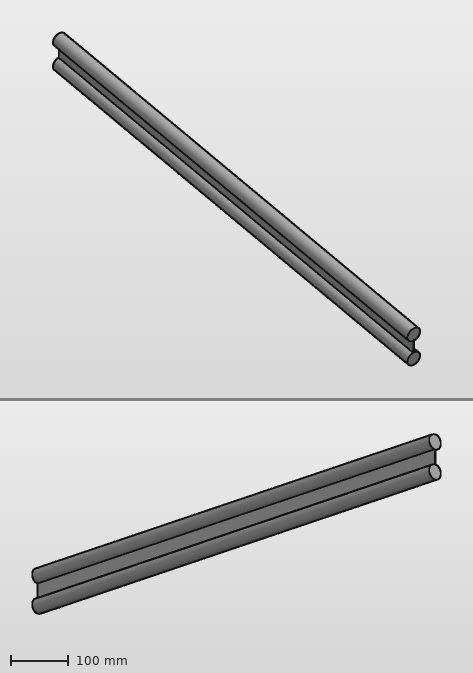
import cadquery as cq

length = 1000.0
rod_diameter = 28.0
rod_spacing = 55.0
web_thickness = 2.5


def make_rod(center_z):
    """Round rod along X, centred on the origin in X and Y."""
    return (
        cq.Workplane("YZ")
        .center(0, center_z)
        .circle(rod_diameter / 2)
        .extrude(length / 2, both=True)
    )


def make_web():
    """Flat web reaching from one rod axis to the other, so that it merges into both rods."""
    return cq.Workplane("XY").box(length, web_thickness, rod_spacing)


result = make_web()
for rod_center_z in (-rod_spacing / 2, rod_spacing / 2):
    result = result.union(make_rod(rod_center_z))